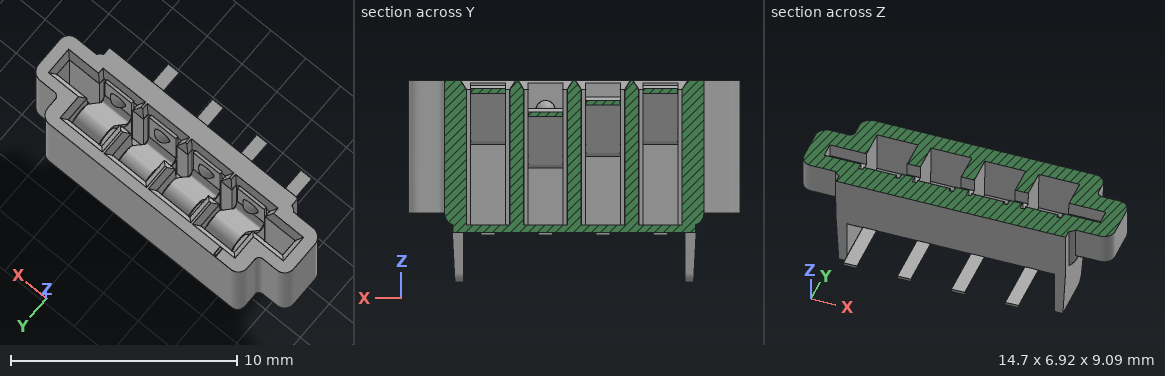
import cadquery as cq
import math


ear_half_x = 7.34
core_half_x = 5.74
wall_half_x = 5.42
core_front_y = 0.37
core_back_y = 4.4
ear_front_y = 0.6
ear_back_y = 3.13
corner_radius = 0.53
notch_radius = 0.25

top_z = 8.94
ear_bottom_z = top_z - 5.89
side_round_bottom_z = top_z - 6.39
housing_bottom_z = top_z - 6.74
back_chamfer = 0.5
foot_step = 0.05

leg_tip_half_x = 5.28
leg_inner_half_x = 4.89
leg_top_depth = 2.54
leg_tip_depth = 2.32
leg_corner_radius = 0.44

pitch = 2.54
divider_top = 0.1
pocket_half_x = (pitch - divider_top) / 2
lead_inset = 0.26
lead_depth = 0.41
pocket_front_y = 0.91
pocket_back_y = 3.89
pocket_floor_z = housing_bottom_z + 0.3
pocket_back_draft = 0.15
pocket_floor_chamfer = 0.13
slot_half_x = 6.75
slot_front_y = 1.22
slot_back_y = 2.61
slot_floor_z = top_z - 4.99
slot_back_draft = 0.19

contact_width = 1.54
sheet = 0.15
contact_front_y = pocket_front_y + lead_inset
contact_front_top_z = top_z - 0.12
arm_lean = math.radians(22)
front_lean = math.radians(25)
front_lean_shift = 0.15
arm_height = 2.05
hook_radius = 0.59
hook_center_y = 3.02
hook_drops = [0.81, 1.32, 1.84, 0.81]
dimple_radius = 0.43
dimple_height = 0.31
dimple_z = top_z - 1.32

pin_width = 0.65
pin_tip_y = -2.52
pin_bottom_z = housing_bottom_z - 0.12

marker_x = -4.27
marker_width = 0.12
marker_length = 0.43
marker_back_y = 4.36
marker_height = 0.15

contact_count = len(hook_drops)
contact_xs = [(i - (contact_count - 1) / 2) * pitch for i in range(contact_count)]


def box(x0, x1, y0, y1, z0, z1):
    return cq.Workplane("XY").box(x1 - x0, y1 - y0, z1 - z0, centered=False).translate((x0, y0, z0))


def prism_along_x(profile, width, x_center):
    """Extrude a closed YZ profile to the given width, centred on x_center."""
    return profile.extrude(width / 2, both=True).translate((x_center, 0, 0))


def make_core():
    core = box(-core_half_x, core_half_x, core_front_y, core_back_y, housing_bottom_z, top_z)
    core = core.edges("|Z").fillet(corner_radius)
    front_wall = box(-wall_half_x, wall_half_x, 0, ear_back_y, housing_bottom_z, top_z)
    core = core.union(front_wall)

    drop = ear_bottom_z - side_round_bottom_z
    inset = core_half_x - wall_half_x
    round_radius = (drop ** 2 + inset ** 2) / (2 * inset)
    half_angle = math.atan2(inset, drop)
    mid_x = core_half_x - round_radius * (1 - math.cos(half_angle))
    mid_z = ear_bottom_z - round_radius * math.sin(half_angle)
    foot_x = wall_half_x - foot_step
    side_limit = (
        cq.Workplane("XZ")
        .moveTo(-ear_half_x, top_z)
        .lineTo(-ear_half_x, ear_bottom_z)
        .lineTo(-core_half_x, ear_bottom_z)
        .threePointArc((-mid_x, mid_z), (-wall_half_x, side_round_bottom_z))
        .lineTo(-foot_x, side_round_bottom_z)
        .lineTo(-foot_x, housing_bottom_z)
        .lineTo(foot_x, housing_bottom_z)
        .lineTo(foot_x, side_round_bottom_z)
        .lineTo(wall_half_x, side_round_bottom_z)
        .threePointArc((mid_x, mid_z), (core_half_x, ear_bottom_z))
        .lineTo(ear_half_x, ear_bottom_z)
        .lineTo(ear_half_x, top_z)
        .close()
        .extrude(-core_back_y)
    )
    back_cut = prism_along_x(
        cq.Workplane("YZ").polyline([
            (core_back_y, housing_bottom_z + back_chamfer),
            (core_back_y, housing_bottom_z),
            (core_back_y - back_chamfer, housing_bottom_z),
        ]).close(),
        2 * ear_half_x, 0,
    )
    return core.intersect(side_limit).cut(back_cut)


def make_ears():
    ears = box(-ear_half_x, ear_half_x, ear_front_y, ear_back_y, ear_bottom_z, top_z)
    return ears.edges("|Z").fillet(corner_radius)


def make_ear_notch(side):
    """Concave fillet where the back of an ear meets the side of the core."""
    x0 = side * core_half_x
    x1 = side * (core_half_x + notch_radius)
    bow = notch_radius * (1 - math.sqrt(0.5))
    return (
        cq.Workplane("XY", origin=(0, 0, ear_bottom_z))
        .moveTo(x0, ear_back_y)
        .lineTo(x1, ear_back_y)
        .threePointArc((x0 + side * bow, ear_back_y + bow), (x0, ear_back_y + notch_radius))
        .close()
        .extrude(top_z - ear_bottom_z)
    )


def make_leg(side):
    front_shape = cq.Workplane("XZ").polyline([
        (side * leg_inner_half_x, 0),
        (side * leg_tip_half_x, 0),
        (side * wall_half_x, side_round_bottom_z),
        (side * leg_inner_half_x, side_round_bottom_z),
    ]).close().extrude(-leg_top_depth)
    side_shape = prism_along_x(
        cq.Workplane("YZ").polyline([
            (0, 0),
            (leg_tip_depth, 0),
            (leg_top_depth, side_round_bottom_z),
            (0, side_round_bottom_z),
        ]).close(),
        2 * ear_half_x, 0,
    )
    tip_corner = cq.selectors.NearestToPointSelector((0, leg_tip_depth, 0))
    side_shape = side_shape.edges("|X").edges(tip_corner).fillet(leg_corner_radius)
    return front_shape.intersect(side_shape)


def cavity(x_center, half_x, front_y, back_y, floor_z, back_draft, floor_chamfer=0):
    """Blind opening with a flared mouth, a drafted back wall and an optional sloped rear floor edge."""
    inner_half_x = half_x - lead_inset
    inner_front_y = front_y + lead_inset
    inner_back_y = back_y - lead_inset
    y_center = (front_y + back_y) / 2
    lead_z = top_z - lead_depth
    drafted_back_y = inner_back_y - back_draft
    profile = [
        (inner_front_y, lead_z),
        (inner_front_y, floor_z),
        (drafted_back_y - floor_chamfer, floor_z),
    ]
    if floor_chamfer:
        profile.append((drafted_back_y, floor_z + floor_chamfer))
    profile.append((inner_back_y, lead_z))
    shaft = prism_along_x(cq.Workplane("YZ").polyline(profile).close(), 2 * inner_half_x, x_center)
    mouth = (
        cq.Workplane("XY", origin=(x_center, y_center, lead_z))
        .rect(2 * inner_half_x, inner_back_y - inner_front_y)
        .workplane(offset=lead_depth)
        .rect(2 * half_x, back_y - front_y)
        .loft(ruled=True)
    )
    return shaft.union(mouth)


def make_contact(x_center, hook_drop):
    """Sheet metal strip: front leg, tight bend, leaning arm and rolled hook at the top."""
    hook_z = top_z - hook_drop
    inner_hook_radius = hook_radius - sheet
    arm_top_y = hook_center_y - hook_radius * math.cos(arm_lean)
    arm_top_z = hook_z + hook_radius * math.sin(arm_lean)
    under_top_y = hook_center_y - inner_hook_radius * math.cos(arm_lean)
    under_top_z = hook_z + inner_hook_radius * math.sin(arm_lean)

    leg_back_y = contact_front_y + sheet
    arm_foot_y = arm_top_y - arm_height * math.tan(arm_lean)
    arm_foot_z = arm_top_z - arm_height
    leg_foot_y = leg_back_y + front_lean_shift
    bend_radius = (arm_foot_y - leg_foot_y) / (math.cos(front_lean) + math.cos(arm_lean))
    outer_bend_radius = bend_radius + sheet
    bend_y = leg_foot_y + bend_radius * math.cos(front_lean)
    bend_z = arm_foot_z + bend_radius * math.sin(arm_lean)
    leg_foot_z = bend_z - bend_radius * math.sin(front_lean)
    under_foot_y = bend_y + outer_bend_radius * math.cos(arm_lean)
    under_foot_z = bend_z - outer_bend_radius * math.sin(arm_lean)
    outer_leg_y = bend_y - outer_bend_radius * math.cos(front_lean)
    outer_leg_z = bend_z - outer_bend_radius * math.sin(front_lean)
    kink_z = leg_foot_z + front_lean_shift / math.tan(front_lean)
    outer_kink_z = kink_z - sheet * math.tan(front_lean / 2)

    strip = prism_along_x(
        cq.Workplane("YZ")
        .moveTo(contact_front_y, contact_front_top_z)
        .lineTo(leg_back_y, contact_front_top_z)
        .lineTo(leg_back_y, kink_z)
        .lineTo(leg_foot_y, leg_foot_z)
        .threePointArc((bend_y, bend_z - bend_radius), (arm_foot_y, arm_foot_z))
        .lineTo(arm_top_y, arm_top_z)
        .threePointArc((hook_center_y, hook_z + hook_radius), (hook_center_y + hook_radius, hook_z))
        .lineTo(hook_center_y + inner_hook_radius, hook_z)
        .threePointArc((hook_center_y, hook_z + inner_hook_radius), (under_top_y, under_top_z))
        .lineTo(under_foot_y, under_foot_z)
        .threePointArc((bend_y, bend_z - outer_bend_radius), (outer_leg_y, outer_leg_z))
        .lineTo(contact_front_y, outer_kink_z)
        .close(),
        contact_width, x_center,
    )
    leg = box(x_center - contact_width / 2, x_center + contact_width / 2, contact_front_y, leg_back_y,
              pocket_floor_z, contact_front_top_z)

    sphere_radius = (dimple_radius ** 2 + dimple_height ** 2) / (2 * dimple_height)
    sphere_y = leg_back_y + dimple_height - sphere_radius
    sphere = cq.Workplane("XY").sphere(sphere_radius).translate((x_center, sphere_y, dimple_z))
    cap_limit = box(x_center - sphere_radius, x_center + sphere_radius, leg_back_y - sheet / 2,
                    leg_back_y + sphere_radius, dimple_z - sphere_radius, dimple_z + sphere_radius)
    dimple = sphere.intersect(cap_limit)
    return strip.union(leg).union(dimple)


def make_pin(x_center):
    return box(x_center - pin_width / 2, x_center + pin_width / 2, pin_tip_y, contact_front_y,
               pin_bottom_z, pin_bottom_z + sheet)


housing = make_core().union(make_ears())
for side in (-1, 1):
    housing = housing.union(make_ear_notch(side)).union(make_leg(side))

housing = housing.cut(cavity(0, slot_half_x, slot_front_y, slot_back_y, slot_floor_z, slot_back_draft))
for x in contact_xs:
    pocket = cavity(x, pocket_half_x, pocket_front_y, pocket_back_y, pocket_floor_z,
                    pocket_back_draft, pocket_floor_chamfer)
    housing = housing.cut(pocket)

result = housing
for x, drop in zip(contact_xs, hook_drops):
    result = result.union(make_contact(x, drop)).union(make_pin(x))

marker = box(marker_x - marker_width / 2, marker_x + marker_width / 2,
             marker_back_y - marker_length, marker_back_y, top_z, top_z + marker_height)
result = result.union(marker)